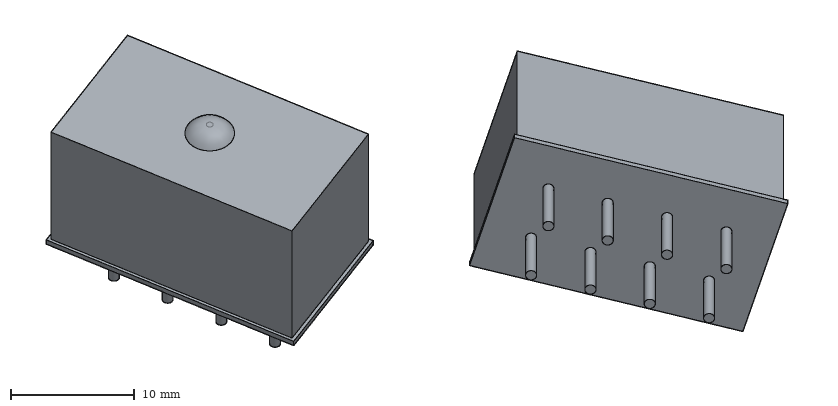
import cadquery as cq
import math

base_length = 23.0
base_width = 13.0
base_thickness = 0.5

housing_length = 22.4
housing_width = 12.5
housing_height = 12.5

pin_diameter = 0.9
pin_length = 5.4
pin_pitch = 5.0
pin_columns = 4
pin_rows = 2

button_radius = 2.0
button_height = 1.0
button_tip_radius = 0.28
button_flank = button_radius - button_tip_radius
dome_arc_radius = (button_flank**2 + button_height**2) / (2 * button_height)

housing_top = base_thickness + housing_height


def make_plate_and_housing():
    """Base plate standing on Z = 0 with the housing block on it."""
    plate = cq.Workplane("XY").box(
        base_length, base_width, base_thickness, centered=(True, True, False)
    )
    housing = (
        cq.Workplane("XY", origin=(0, 0, base_thickness))
        .box(housing_length, housing_width, housing_height, centered=(True, True, False))
    )
    return plate.union(housing)


def make_pins():
    """Grid of round pins hanging from the underside of the plate."""
    return (
        cq.Workplane("XY")
        .rarray(pin_pitch, pin_pitch, pin_columns, pin_rows)
        .circle(pin_diameter / 2)
        .extrude(-pin_length)
    )


def make_button():
    """Domed button revolved about Z on top of the housing."""
    half_angle = math.asin(button_flank / dome_arc_radius) / 2
    mid_radius = button_tip_radius + dome_arc_radius * math.sin(half_angle)
    mid_height = button_height - dome_arc_radius * (1 - math.cos(half_angle))
    return (
        cq.Workplane("XZ", origin=(0, 0, housing_top))
        .lineTo(button_radius, 0)
        .threePointArc((mid_radius, mid_height), (button_tip_radius, button_height))
        .lineTo(0, button_height)
        .close()
        .revolve(360, (0, 0, 0), (0, 1, 0))
    )


result = make_plate_and_housing().union(make_pins()).union(make_button())